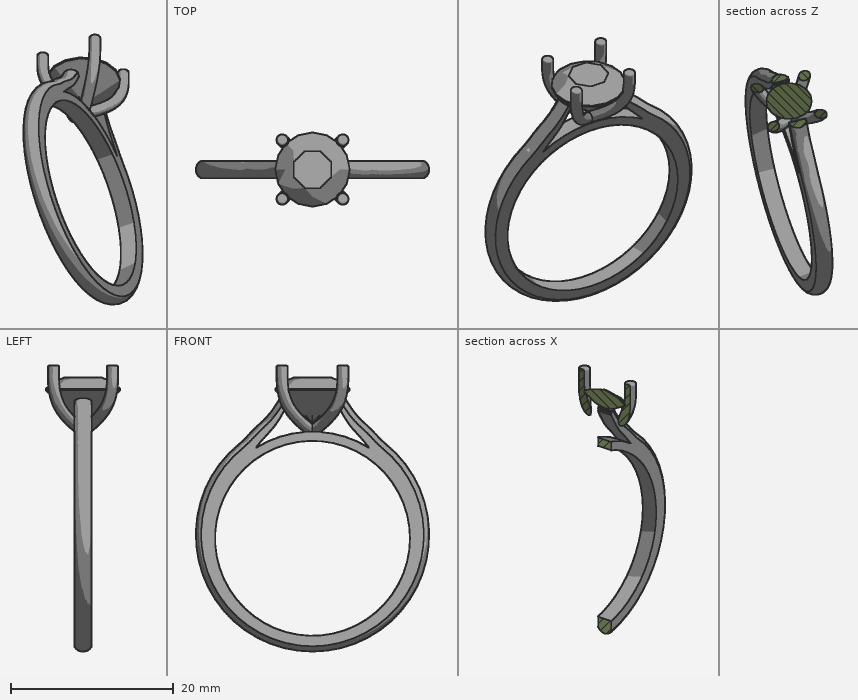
import cadquery as cq
import math

band_width = 2.15
finger_radius = 11.98
rail_radius = 13.15
band_outer_radius = 14.37
band_outer_lift = 0.42
dome_height = 0.67
crown_root = 0.18
shoulder_radius = band_outer_radius - dome_height

arm_start_angle = 51.5
arm_outer_points = [(6.87, 12.82), (5.7, 13.9), (4.6, 15.1)]
arm_tip_angle = 122.0
arm_tip_outer = (3.4, 16.9)
arm_window_corner_x = 6.95
arm_inner_points = [(5.85, 12.47), (4.7, 13.77), (3.85, 15.05)]
arm_tip_inner = (3.05, 16.5)

stone_folds = 8
stone_radius = 4.58
table_radius = 2.45
table_z = 19.8
girdle_top_z = 18.43
girdle_bottom_z = 18.2
culet_z = 14.13
star_radius = 3.35
pavilion_point_radius = 1.15

prong_x = 3.75
prong_y = 3.63
prong_radius = 0.7
prong_top_z = 21.28
prong_tip_round = 0.25
prong_straight_end_z = 19.73
prong_foot_z = 13.2
prong_middle = (3.28, 15.33)
prong_foot_slope = 28.0


def polar(radius, degrees, lift=0.0):
    """Point (x, z) at a radius and angle about a centre lifted above the origin."""
    angle = math.radians(degrees)
    return (radius * math.cos(angle), lift + radius * math.sin(angle))


def mirrored(points):
    """The same points or directions on the other side of the ring."""
    return [(-x, z) for x, z in points]


start_tangent = polar(1.0, arm_start_angle + 90)
tip_tangent = polar(1.0, arm_tip_angle)
arm_start = polar(shoulder_radius, arm_start_angle, band_outer_lift)
arm_window_corner = (arm_window_corner_x, math.sqrt(rail_radius**2 - arm_window_corner_x**2))


def band_plate():
    """Flat-sided part of the band: ring, bridge under the stone and the two arms."""
    left_start, left_tip, left_tip_inner = mirrored([arm_start, arm_tip_outer, arm_tip_inner])
    inner_edge = [arm_window_corner, *arm_inner_points]
    front = (0, -band_width / 2, 0)
    outline = (
        cq.Workplane("XZ", origin=front)
        .moveTo(*arm_start)
        .threePointArc((0, band_outer_lift - shoulder_radius), left_start)
        .spline(
            [*mirrored(arm_outer_points), left_tip],
            tangents=mirrored([start_tangent, tip_tangent]),
            includeCurrent=True,
        )
        .lineTo(*left_tip_inner)
        .spline(mirrored(inner_edge[::-1]), includeCurrent=True)
        .threePointArc((0, rail_radius), arm_window_corner)
        .spline([*arm_inner_points, arm_tip_inner], includeCurrent=True)
        .lineTo(*arm_tip_outer)
        .spline(
            [*arm_outer_points[::-1], arm_start],
            tangents=[(-tip_tangent[0], -tip_tangent[1]), (-start_tangent[0], -start_tangent[1])],
            includeCurrent=True,
        )
        .close()
    )
    finger_hole = cq.Workplane("XZ", origin=front).circle(finger_radius).extrude(-band_width)
    return outline.extrude(-band_width).cut(finger_hole)


def crown_section():
    """Domed cross-section at the start of the right-hand arm, rooted a little into the plate."""
    outward = polar(1.0, arm_start_angle)
    section_plane = cq.Plane(
        origin=(arm_start[0], 0, arm_start[1]),
        xDir=(outward[0], 0, outward[1]),
        normal=(start_tangent[0], 0, start_tangent[1]),
    )
    half = band_width / 2
    return (
        cq.Workplane(section_plane)
        .moveTo(-crown_root, -half)
        .lineTo(0, -half)
        .threePointArc((dome_height, 0), (0, half))
        .lineTo(-crown_root, half)
        .close()
    )


def ring_crown():
    """Crown around the round part of the band, between the two arms."""
    sweep_angle = 180 + 2 * arm_start_angle
    return crown_section().revolve(sweep_angle, (-shoulder_radius, 0), (-shoulder_radius, 1))


def arm_crown():
    """Crown along the right-hand arm."""
    path = (
        cq.Workplane("XZ")
        .moveTo(*arm_start)
        .spline(
            [*arm_outer_points, arm_tip_outer],
            tangents=[start_tangent, tip_tangent],
            includeCurrent=True,
        )
    )
    return crown_section().sweep(path)


def make_band():
    """Ring shank with its bridge and both arms, as one solid."""
    right_crown = arm_crown()
    left_crown = right_crown.mirror("YZ")
    return band_plate().union(ring_crown()).union(right_crown).union(left_crown)


def around(radius, half_steps, z):
    """Point at a radius and height, turned by a number of half facet steps."""
    angle = math.pi * half_steps / stone_folds
    return cq.Vector(radius * math.cos(angle), radius * math.sin(angle), z)


def on_slope(radius, rim_z, inner_radius, inner_z):
    """Height of a main facet, half a step to its side, as it slopes from an inner point to the rim."""
    along = radius * math.cos(math.pi / stone_folds)
    return inner_z + (rim_z - inner_z) * (along - inner_radius) / (stone_radius - inner_radius)


star_z = on_slope(star_radius, girdle_top_z, table_radius, table_z)
pavilion_point_z = on_slope(pavilion_point_radius, girdle_bottom_z, 0, culet_z)


def facet(*corners):
    """Flat face with the given corners."""
    return cq.Face.makeFromWires(cq.Wire.makePolygon(list(corners), close=True))


def make_stone():
    """Round brilliant: table, stars, kites and halves above the girdle, pavilion below."""
    culet = cq.Vector(0, 0, culet_z)
    facets = [facet(*[around(table_radius, 2 * i + 1, table_z) for i in range(stone_folds)])]
    for main in range(1, 2 * stone_folds, 2):
        before, after = main - 1, main + 1
        star_before = around(star_radius, before, star_z)
        star_after = around(star_radius, after, star_z)
        table_corner = around(table_radius, main, table_z)
        next_table_corner = around(table_radius, main + 2, table_z)
        crown_rim = around(stone_radius, main, girdle_top_z)
        pavilion_rim = around(stone_radius, main, girdle_bottom_z)
        low_before = around(pavilion_point_radius, before, pavilion_point_z)
        low_after = around(pavilion_point_radius, after, pavilion_point_z)
        facets.append(facet(table_corner, star_after, next_table_corner))
        facets.append(facet(table_corner, star_before, crown_rim, star_after))
        facets.append(facet(pavilion_rim, low_before, culet, low_after))
        for side, star, low in ((before, star_before, low_before), (after, star_after, low_after)):
            crown_side = around(stone_radius, side, girdle_top_z)
            pavilion_side = around(stone_radius, side, girdle_bottom_z)
            facets.append(facet(star, crown_rim, crown_side))
            facets.append(facet(crown_rim, crown_side, pavilion_side, pavilion_rim))
            facets.append(facet(low, pavilion_rim, pavilion_side))
    return cq.Workplane(cq.Solid.makeSolid(cq.Shell.makeShell(facets)))


prong_reach = math.hypot(prong_x, prong_y)


def make_prong_blank():
    """Prong in the +X +Y quadrant: foot line, bend and straight finger, mitred on the planes X=0, Y=0."""
    upright = cq.Plane(
        origin=(0, 0, 0), xDir=(prong_x, prong_y, 0), normal=(prong_y, -prong_x, 0)
    )
    foot_overrun = 2 * prong_radius
    foot_direction = polar(1.0, prong_foot_slope)
    foot_drop = foot_overrun * foot_direction[1] / foot_direction[0]
    path = (
        cq.Workplane(upright)
        .moveTo(-foot_overrun, prong_foot_z - foot_drop)
        .lineTo(0, prong_foot_z)
        .spline(
            [prong_middle, (prong_reach, prong_straight_end_z)],
            tangents=[foot_direction, (0, 1)],
            includeCurrent=True,
        )
        .lineTo(prong_reach, prong_top_z)
    )
    tip = cq.Workplane("XY", origin=(prong_x, prong_y, prong_top_z))
    finger = tip.circle(prong_radius).sweep(path)
    finger = finger.faces(">Z").fillet(prong_tip_round)
    quadrant = cq.Workplane("XY").box(
        prong_x + prong_radius, prong_y + prong_radius, prong_top_z, centered=False
    )
    return finger.intersect(quadrant)


def make_prongs(stone, band):
    """Four prongs, notched where the stone sits and trimmed where they stand on the band."""
    blank = make_prong_blank()
    pair = [blank, blank.mirror("YZ")]
    copies = pair + [prong.mirror("XZ") for prong in pair]
    return [prong.cut(stone).cut(band).val() for prong in copies]


band = make_band()
stone = make_stone()
prongs = make_prongs(stone, band)

result = cq.Compound.makeCompound([band.val(), stone.val(), *prongs])